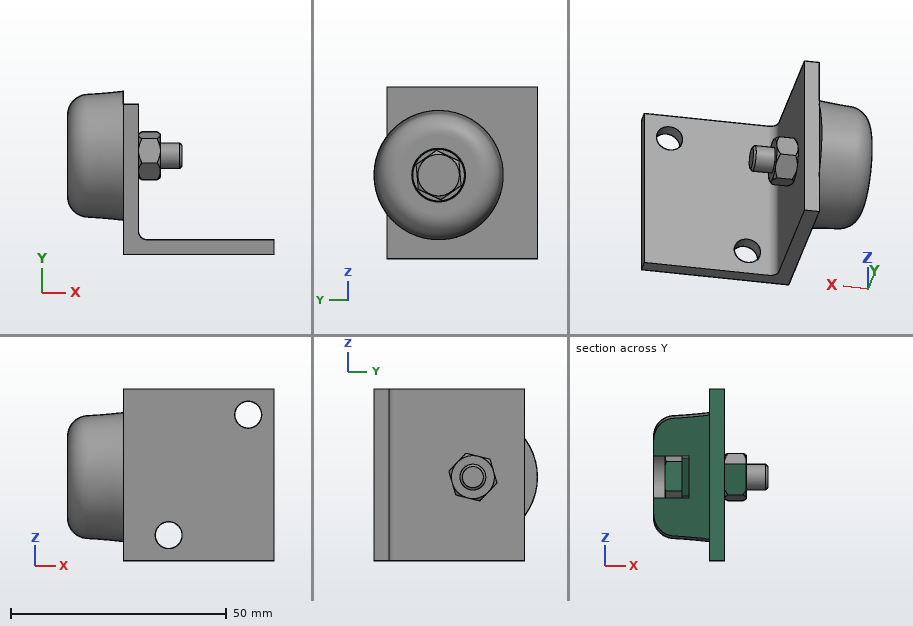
import cadquery as cq
import math

leg_length = 35.0
bracket_height = 40.0
plate_thickness = 3.5
bend_radius = 2.0
mounting_hole_diameter = 6.2
mounting_holes = [(10.5, 6.0), (29.0, 34.0)]

axis_y = 23.0
axis_z = 19.5
clearance_diameter = 6.5

bumper_height = 13.0
rim_radius = 15.0
nose_flat_radius = 9.4
nose_round_radius = 4.9
wall_start_slope = 3.0
recess_diameter = 12.5

across_flats = 10.0
head_chamfer_angle = 30.0
head_chamfer_diameter = 9.65
nut_chamfer_angle = 45.0
nut_chamfer_diameter = across_flats
shank_diameter = 6.0
tip_diameter = 4.9
head_height = 4.0
bolt_length = 20.0
bolt_tip_x = 13.65
nut_height = 5.1
head_turn = 25.0
nut_turn = 46.3

washer_diameter = 12.0
washer_bore = 6.4
washer_thickness = 1.6

head_seat_x = bolt_tip_x - bolt_length
head_top_x = head_seat_x - head_height
recess_floor_x = head_seat_x + washer_thickness
nose_x = -bumper_height
nut_end_x = plate_thickness + nut_height


def axial_cylinder(diameter, start_x, end_x):
    """Cylinder on the common axis between two X positions."""
    plane = cq.Workplane("YZ", origin=(start_x, axis_y, axis_z))
    return plane.circle(diameter / 2).extrude(end_x - start_x)


def hexagon(start_x, end_x, turn, chamfer_diameter, chamfer_angle, chamfer_both_ends):
    """Hexagonal prism on the common axis, its corners cut by a cone."""
    corner_radius = across_flats / math.sqrt(3)
    circle_radius = chamfer_diameter / 2
    chamfer_depth = (corner_radius - circle_radius) * math.tan(math.radians(chamfer_angle))
    height = end_x - start_x
    corners = [
        (
            corner_radius * math.cos(math.radians(turn + 60 * i)),
            corner_radius * math.sin(math.radians(turn + 60 * i)),
        )
        for i in range(6)
    ]
    prism = cq.Workplane("YZ").polyline(corners).close().extrude(height)
    envelope = (
        cq.Workplane("XY")
        .moveTo(0, 0)
        .lineTo(0, circle_radius)
        .lineTo(chamfer_depth, corner_radius)
    )
    if chamfer_both_ends:
        envelope = envelope.lineTo(height - chamfer_depth, corner_radius).lineTo(height, circle_radius)
    else:
        envelope = envelope.lineTo(height, corner_radius)
    envelope = envelope.lineTo(height, 0).close().revolve(360, (0, 0, 0), (1, 0, 0))
    return prism.intersect(envelope).translate((start_x, axis_y, axis_z))


def make_bracket():
    """L-shaped bracket with a rounded inner corner and three holes."""
    inner_corner = cq.selectors.NearestToPointSelector(
        (plate_thickness, plate_thickness, bracket_height / 2)
    )
    bracket = (
        cq.Workplane("XY")
        .polyline(
            [
                (0, 0),
                (leg_length, 0),
                (leg_length, plate_thickness),
                (plate_thickness, plate_thickness),
                (plate_thickness, leg_length),
                (0, leg_length),
            ]
        )
        .close()
        .extrude(bracket_height)
        .edges(inner_corner)
        .fillet(bend_radius)
    )
    mounting_cutters = (
        cq.Workplane("XZ")
        .pushPoints(mounting_holes)
        .circle(mounting_hole_diameter / 2)
        .extrude(-plate_thickness)
    )
    bolt_hole = axial_cylinder(clearance_diameter, 0, plate_thickness)
    return bracket.cut(mounting_cutters).cut(bolt_hole)


def make_bumper():
    """Round bumper with a flared wall, a rounded nose and a recess for the bolt head."""

    def nose_point(angle):
        """Point on the nose rounding, with 0 degrees pointing at the nose face."""
        radians = math.radians(angle)
        return (
            nose_x + nose_round_radius * (1 - math.cos(radians)),
            nose_flat_radius + nose_round_radius * math.sin(radians),
        )

    round_sweep = 90 - wall_start_slope
    body = (
        cq.Workplane("XY")
        .moveTo(nose_x, 0)
        .lineTo(nose_x, nose_flat_radius)
        .threePointArc(nose_point(round_sweep / 2), nose_point(round_sweep))
        .tangentArcPoint((0, rim_radius), relative=False)
        .lineTo(0, 0)
        .close()
        .revolve(360, (0, 0, 0), (1, 0, 0))
        .translate((0, axis_y, axis_z))
    )
    recess = axial_cylinder(recess_diameter, nose_x, recess_floor_x)
    bolt_hole = axial_cylinder(clearance_diameter, recess_floor_x, 0)
    return body.cut(recess).cut(bolt_hole)


def make_washer():
    """Flat washer on the floor of the bumper recess."""
    disc = axial_cylinder(washer_diameter, head_seat_x, recess_floor_x)
    return disc.cut(axial_cylinder(washer_bore, head_seat_x, recess_floor_x))


def make_bolt():
    """Hexagon bolt with a chamfered tip."""
    tip_chamfer = (shank_diameter - tip_diameter) / 2
    shank = axial_cylinder(shank_diameter, head_seat_x, bolt_tip_x).faces(">X").chamfer(tip_chamfer)
    head = hexagon(
        head_top_x, head_seat_x, head_turn, head_chamfer_diameter, head_chamfer_angle, False
    )
    return head.union(shank)


def make_nut():
    """Hexagon nut against the inner face of the bracket."""
    blank = hexagon(
        plate_thickness, nut_end_x, nut_turn, nut_chamfer_diameter, nut_chamfer_angle, True
    )
    return blank.cut(axial_cylinder(shank_diameter, plate_thickness, nut_end_x))


bracket = make_bracket()
bumper = make_bumper()
washer = make_washer()
bolt = make_bolt()
nut = make_nut()

result = cq.Compound.makeCompound(
    [bracket.val(), bumper.val(), washer.val(), bolt.val(), nut.val()]
)